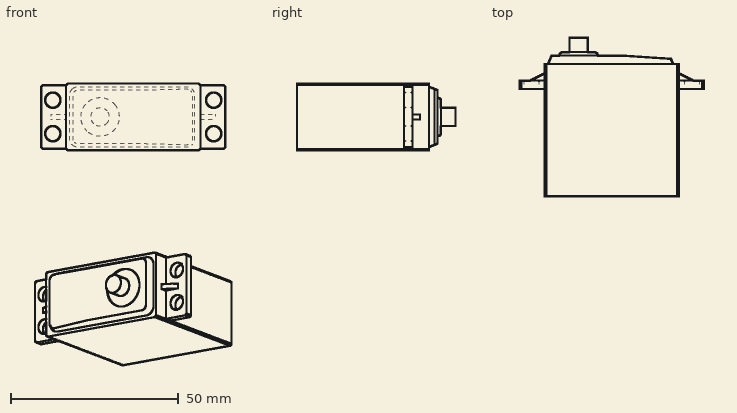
import cadquery as cq
import math


case_width = 40.0
case_depth = 39.5
case_height = 20.0
case_chamfer = 0.5

ear_span = 55.0
ear_height = 19.0
ear_thickness = 2.5
ear_setback = 5.0
ear_chamfer = 0.5
ear_face = case_depth - ear_setback

hole_diameter = 4.5
hole_spacing_x = 48.0
hole_spacing_z = 10.0

rib_length = 4.5
rib_rise = 2.25
rib_thickness = 1.5

cover_left = -19.0
cover_right = 18.3
cover_height = 18.0
cover_rise = 2.5
cover_corner_radius = 2.5
cover_draft = 22.0
slope_start_x = 3.5
slope_angle = 3.8
cover_top = case_depth + cover_rise

shaft_x = -9.9
shaft_diameter = 5.5
shaft_end = 47.38
boss_diameter = 11.5
boss_rise = 1.0
boss_fillet = 0.95


def plane_at(y):
    """XZ plane at the given Y, with its normal along +Y and its local x axis along +X."""
    return cq.Workplane(cq.Plane(origin=(0, y, 0), xDir=(1, 0, 0), normal=(0, 1, 0)))


def chamfered_block(y, width, height, depth, chamfer):
    """Block rising from y along +Y with its four Y-parallel edges chamfered."""
    return plane_at(y).rect(width, height).extrude(depth).edges("|Y").chamfer(chamfer)


def make_ears():
    """Plate that passes through the case and forms both ears, with four mounting holes."""
    plate_start = ear_face - ear_thickness
    plate = chamfered_block(plate_start, ear_span, ear_height, ear_thickness, ear_chamfer)
    holes = (
        plane_at(plate_start)
        .rect(hole_spacing_x, hole_spacing_z, forConstruction=True)
        .vertices()
        .circle(hole_diameter / 2)
        .extrude(ear_thickness)
    )
    return plate.cut(holes)


def make_rib(side):
    """Triangular rib between the case wall and an ear; side is -1 or 1 along X."""
    wall_x = side * case_width / 2
    tip_x = wall_x + side * rib_length
    corners = [(wall_x, ear_face), (tip_x, ear_face), (wall_x, ear_face + rib_rise)]
    return cq.Workplane("XY").polyline(corners).close().extrude(rib_thickness / 2, both=True)


def make_cover():
    """Drafted cover with rounded corners whose top slopes down towards +X."""
    cover = (
        plane_at(case_depth)
        .center((cover_left + cover_right) / 2, 0)
        .sketch()
        .rect(cover_right - cover_left, cover_height)
        .vertices()
        .fillet(cover_corner_radius)
        .finalize()
        .extrude(cover_rise, taper=cover_draft)
    )
    slope_drop = (cover_right - slope_start_x) * math.tan(math.radians(slope_angle))
    removed_wedge = (
        cq.Workplane("XY")
        .moveTo(slope_start_x, cover_top)
        .lineTo(cover_right, cover_top)
        .lineTo(cover_right, cover_top - slope_drop)
        .close()
        .extrude(cover_height / 2, both=True)
    )
    return cover.cut(removed_wedge)


def make_output():
    """Boss with a rounded rim, carrying the output shaft."""
    boss = plane_at(cover_top).center(shaft_x, 0).circle(boss_diameter / 2).extrude(boss_rise)
    boss = boss.faces(">Y").edges().fillet(boss_fillet)
    shaft_length = shaft_end - cover_top
    shaft = plane_at(cover_top).center(shaft_x, 0).circle(shaft_diameter / 2).extrude(shaft_length)
    return boss.union(shaft)


result = chamfered_block(0, case_width, case_height, case_depth, case_chamfer)
result = result.union(make_ears())
for ear_side in (-1, 1):
    result = result.union(make_rib(ear_side))
result = result.union(make_cover()).union(make_output())